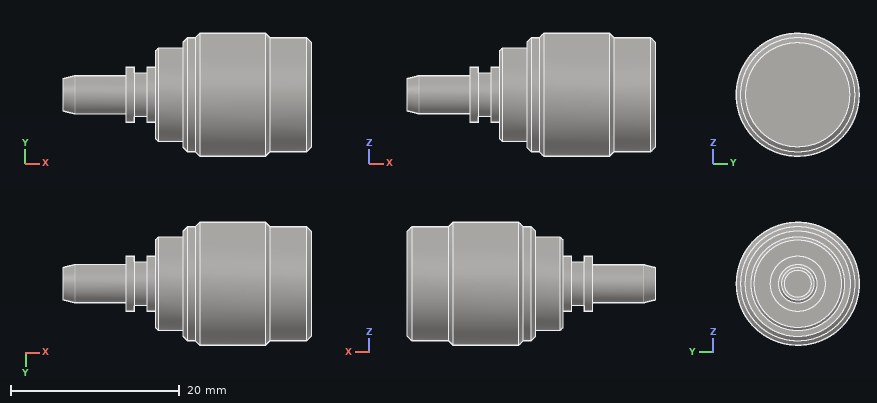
import cadquery as cq

total_length = 29.48

tip_end = 1.45
flange_start = 7.48
flange_width = 1.0
groove_width = 1.48
collar_start = flange_start + 2 * flange_width + groove_width
body_start = 14.23
barrel_start = 15.7
barrel_end = 24.55

bore_diameter = 3.2
tip_diameter = 3.85
tube_diameter = 4.56
flange_diameter = 6.54
groove_diameter = 5.2
collar_diameter = 11.1
body_diameter = 13.55
barrel_diameter = 14.61

collar_chamfer = 0.37
body_front_chamfer = 0.53
body_rear_chamfer = 0.6
barrel_chamfer = (barrel_diameter - body_diameter) / 2

bore_depth = collar_start


def cylinder(start, end, diameter):
    """Solid cylinder on the X axis between two axial stations."""
    return cq.Workplane("YZ").workplane(offset=start).circle(diameter / 2).extrude(end - start)


def tapered_tube():
    """Thin tube whose open end narrows in a straight taper."""
    outline = [
        (0, 0),
        (0, tip_diameter / 2),
        (tip_end, tube_diameter / 2),
        (flange_start, tube_diameter / 2),
        (flange_start, 0),
    ]
    return cq.Workplane("XY").polyline(outline).close().revolve(360, (0, 0, 0), (1, 0, 0))


def grooved_flange():
    """Pair of equal flanges separated by a groove."""
    flanges = cylinder(flange_start, collar_start, groove_diameter)
    for start in (flange_start, collar_start - flange_width):
        flanges = flanges.union(cylinder(start, start + flange_width, flange_diameter))
    return flanges


def collar():
    """Short collar with a chamfered front rim."""
    return cylinder(collar_start, body_start, collar_diameter).faces("<X").chamfer(collar_chamfer)


def body():
    """Main body, chamfered at both ends, carrying the larger chamfered barrel."""
    core = cylinder(body_start, total_length, body_diameter)
    core = core.faces("<X").chamfer(body_front_chamfer)
    core = core.faces(">X").chamfer(body_rear_chamfer)
    barrel = cylinder(barrel_start, barrel_end, barrel_diameter)
    barrel = barrel.faces("<X or >X").chamfer(barrel_chamfer)
    return core.union(barrel)


bore = cylinder(0, bore_depth, bore_diameter)
connector = tapered_tube().union(grooved_flange()).union(collar()).union(body()).cut(bore)

result = connector.translate((-total_length / 2, 0, 0))